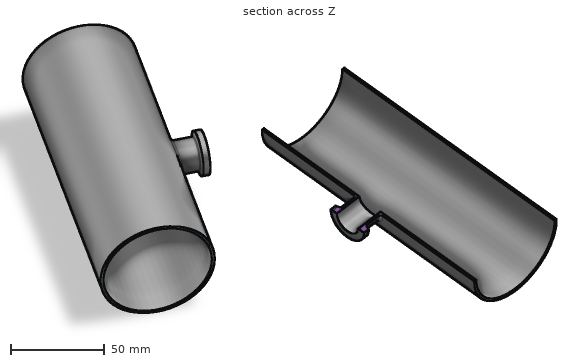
import cadquery as cq
import math

tube_length = 158.8
tube_outer_diameter = 63.5
tube_inner_diameter = 60.2

branch_outer_diameter = 19.0
branch_bore_diameter = 15.7
branch_face_y = 47.6
weld_fillet_radius = 1.5

flange_diameter = 25.0
flange_rim_width = 3.8
shoulder_angle = 20.0
shoulder_fillet_radius = 0.5

branch_radius = branch_outer_diameter / 2
flange_radius = flange_diameter / 2
rim_back_y = branch_face_y - flange_rim_width
shoulder_width = (flange_radius - branch_radius) * math.tan(math.radians(shoulder_angle))
shoulder_back_y = rim_back_y - shoulder_width


def tube_cylinder(diameter):
    """Cylinder on the X axis, as long as the tube."""
    return cq.Workplane("YZ").circle(diameter / 2).extrude(tube_length / 2, both=True)


def branch_body():
    """Solid branch and flange, turned about the Y axis from the tube centre."""
    body = (
        cq.Workplane("XY")
        .lineTo(branch_radius, 0)
        .lineTo(branch_radius, shoulder_back_y)
        .lineTo(flange_radius, rim_back_y)
        .lineTo(flange_radius, branch_face_y)
        .lineTo(0, branch_face_y)
        .close()
        .revolve(360, (0, 0, 0), (0, 1, 0))
    )
    return body.edges("%CIRCLE").edges(">>Y[1]").fillet(shoulder_fillet_radius)


def branch_bore():
    """Bore from the branch face down to the tube axis."""
    return cq.Workplane("XZ").circle(branch_bore_diameter / 2).extrude(-branch_face_y)


outside = tube_cylinder(tube_outer_diameter).union(branch_body())
outside = outside.edges("not(%CIRCLE or %LINE)").fillet(weld_fillet_radius)

result = outside.cut(tube_cylinder(tube_inner_diameter)).cut(branch_bore())